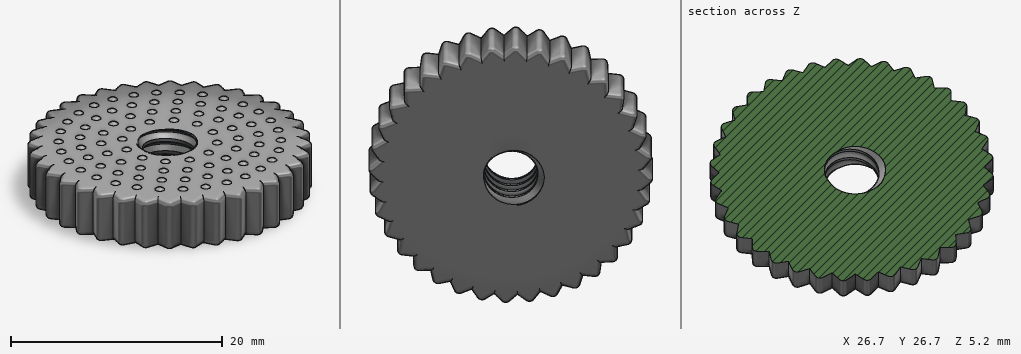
import cadquery as cq
import math

OUTER_SIZE = 26.7
TOTAL_HEIGHT = 5.2
DOT_HEIGHT = 0.21
DISC_HEIGHT = TOTAL_HEIGHT - DOT_HEIGHT

TOOTH_COUNT = 36
RIM_FILLET = 0.5
HALF_PITCH_ANGLE = math.pi / TOOTH_COUNT

tip_round_center = (OUTER_SIZE / 2 - RIM_FILLET) / math.cos(HALF_PITCH_ANGLE)
sharp_tip_radius = tip_round_center + RIM_FILLET * math.sqrt(2)
valley_radius = sharp_tip_radius / (math.cos(HALF_PITCH_ANGLE) + math.sin(HALF_PITCH_ANGLE))

MINOR_DIAMETER = 5.13
MAJOR_DIAMETER = 6.35
MINOR_RADIUS = MINOR_DIAMETER / 2
MAJOR_RADIUS = MAJOR_DIAMETER / 2
THREAD_PITCH = 1.28
CREST_FLAT = THREAD_PITCH / 4
ROOT_FLAT = THREAD_PITCH / 8
GROOVE_OVERLAP = 0.08
ROOT_ANGLE_AT_TOP = -90.0

DOT_RADIUS = 0.45
FIRST_RING_RADIUS = 4.5
RING_SPACING = 2.0
FIRST_RING_DOTS = 12
EXTRA_DOTS_PER_RING = 6
RING_COUNT = 4
DOT_EMBED = 0.08


def polar_point(radius, angle):
    return (radius * math.cos(angle), radius * math.sin(angle))


def toothed_disc():
    outline = []
    for tooth in range(TOOTH_COUNT):
        valley_angle = 2 * tooth * HALF_PITCH_ANGLE
        outline.append(polar_point(valley_radius, valley_angle))
        outline.append(polar_point(sharp_tip_radius, valley_angle + HALF_PITCH_ANGLE))
    disc = cq.Workplane("XY").polyline(outline).close().extrude(DISC_HEIGHT)

    mid_radius = (valley_radius + sharp_tip_radius) / 2
    tip_edges = [
        edge for edge in disc.edges("|Z").vals()
        if math.hypot(edge.Center().x, edge.Center().y) > mid_radius
    ]
    rim_edges = disc.faces("<Z or >Z").edges().vals()
    return disc.newObject(tip_edges + rim_edges).fillet(RIM_FILLET)


def thread_groove():
    """Right-hand helical groove, running past both faces of the disc."""
    turns_below_top = math.ceil(DISC_HEIGHT / THREAD_PITCH) + 1
    turns_above_top = 1
    helix_length = (turns_below_top + turns_above_top) * THREAD_PITCH

    half_opening = (THREAD_PITCH - CREST_FLAT) / 2
    half_root = ROOT_FLAT / 2
    flank_slope = (half_opening - half_root) / (MAJOR_RADIUS - MINOR_RADIUS)
    inner_radius = MINOR_RADIUS - GROOVE_OVERLAP
    half_inner = half_opening + GROOVE_OVERLAP * flank_slope

    helix = cq.Wire.makeHelix(THREAD_PITCH, helix_length, MINOR_RADIUS)
    return (
        cq.Workplane("XZ")
        .polyline([
            (inner_radius, -half_inner),
            (MAJOR_RADIUS, -half_root),
            (MAJOR_RADIUS, half_root),
            (inner_radius, half_inner),
        ])
        .close()
        .sweep(cq.Workplane(helix), isFrenet=True)
        .rotate((0, 0, 0), (0, 0, 1), ROOT_ANGLE_AT_TOP)
        .translate((0, 0, DISC_HEIGHT - turns_below_top * THREAD_PITCH))
    )


def minor_bore():
    return cq.Workplane("XY").circle(MINOR_RADIUS).extrude(DISC_HEIGHT)


def grip_dots():
    """All the dots, standing on the top face."""
    sphere_radius = (DOT_RADIUS**2 + DOT_HEIGHT**2) / (2 * DOT_HEIGHT)
    dot = (
        cq.Workplane("XZ")
        .moveTo(0, -DOT_EMBED)
        .lineTo(DOT_RADIUS, -DOT_EMBED)
        .lineTo(DOT_RADIUS, 0)
        .radiusArc((0, DOT_HEIGHT), -sphere_radius)
        .close()
        .revolve(360, (0, 0, 0), (0, 1, 0))
        .val()
    )
    dots = []
    for ring in range(RING_COUNT):
        ring_radius = FIRST_RING_RADIUS + ring * RING_SPACING
        dot_count = FIRST_RING_DOTS + ring * EXTRA_DOTS_PER_RING
        for index in range(dot_count):
            x, y = polar_point(ring_radius, 2 * math.pi * index / dot_count)
            dots.append(dot.translate(cq.Vector(x, y, DISC_HEIGHT)))
    return cq.Workplane(cq.Compound.makeCompound(dots))


result = toothed_disc().cut(thread_groove()).cut(minor_bore()).union(grip_dots())